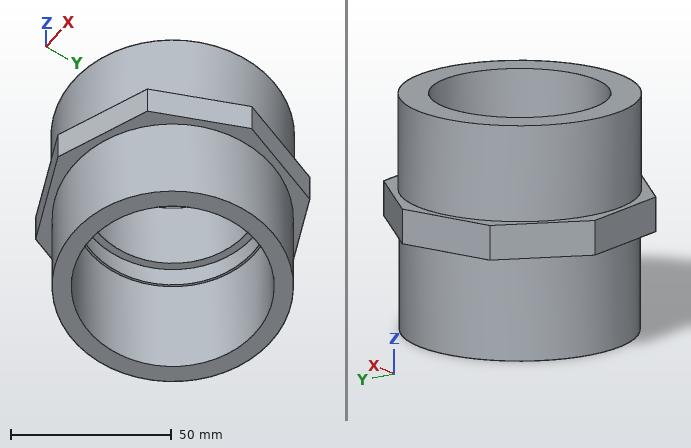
import cadquery as cq

height = 76.0
octagon_across_corners = 86.6
octagon_sides = 8

lower_diameter = 75.0
upper_diameter = 75.7
collar_bottom = 33.9
collar_top = 45.1

upper_bore_diameter = 56.6
middle_bore_diameter = 61.6
lower_bore_diameter = 63.0
upper_bore_depth = 28.0
middle_bore_depth = 35.7


def cylinder(diameter, bottom, top):
    """Vertical cylinder on the part axis between two heights."""
    return cq.Workplane("XY").workplane(offset=bottom).circle(diameter / 2).extrude(top - bottom)


collar = (
    cq.Workplane("XY")
    .workplane(offset=collar_bottom)
    .polygon(octagon_sides, octagon_across_corners)
    .extrude(collar_top - collar_bottom)
)
lower_sleeve = cylinder(lower_diameter, 0, collar_top)
upper_sleeve = cylinder(upper_diameter, collar_bottom, height)
body = collar.union(lower_sleeve).union(upper_sleeve)

upper_bore_bottom = height - upper_bore_depth
middle_bore_bottom = height - middle_bore_depth
bore = (
    cylinder(upper_bore_diameter, 0, height)
    .union(cylinder(middle_bore_diameter, 0, upper_bore_bottom))
    .union(cylinder(lower_bore_diameter, 0, middle_bore_bottom))
)

result = body.cut(bore)